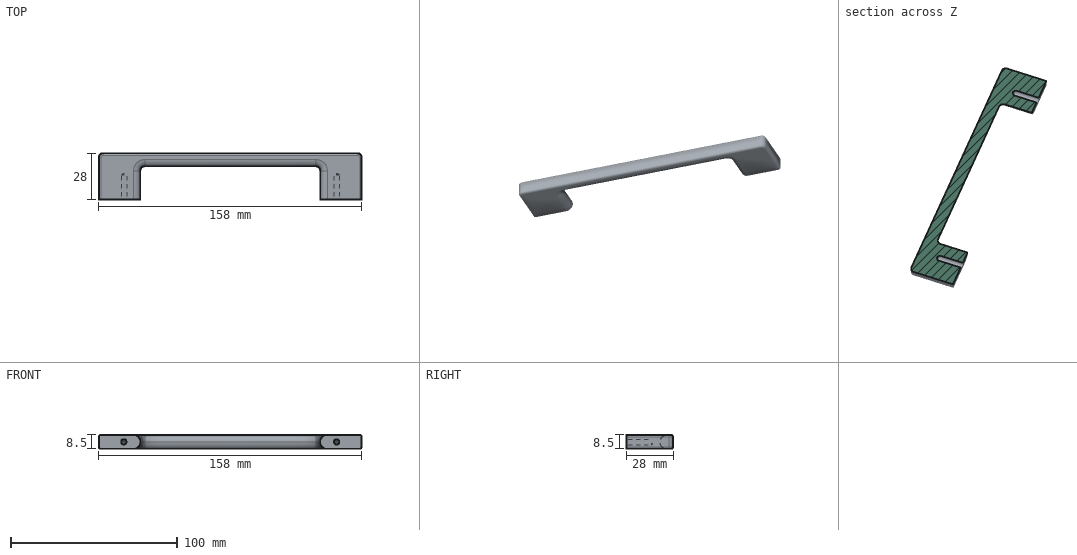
import cadquery as cq
import math

length = 158.0
depth = 28.0
thickness = 8.5

leg_width = 25.0
bar_depth = 8.0
opening_corner_radius = 2.5
nose_flat = 0.002
nose_radius = (thickness - nose_flat) / 2

corner_radius = 2.5
edge_radius = 1.25

hole_spacing = 128.0
hole_diameter = 3.3
hole_depth = 15.0
drill_point_angle = 120.0

opening_width = length - 2 * leg_width
opening_depth = depth - bar_depth


def outer_block():
    """Bar with rounded back corners and softened edges along its sides and back."""
    return (
        cq.Workplane("XY")
        .box(length, depth, thickness, centered=(True, False, True))
        .edges("|Z and >Y")
        .fillet(corner_radius)
        .faces(">Z or <Z")
        .edges("not <Y")
        .fillet(edge_radius)
    )


def grip_opening():
    """Space for the fingers, with rounded inner corners."""
    return (
        cq.Workplane("XY")
        .box(opening_width, opening_depth, thickness, centered=(True, False, True))
        .edges("|Z and >Y")
        .fillet(opening_corner_radius)
    )


def round_grip(body):
    """Round the opening's edges to a near half-round nose, leaving a hair-thin flat at mid-thickness."""
    margin = nose_radius / 2
    half_width = opening_width / 2 + margin
    rim = cq.selectors.BoxSelector(
        (-half_width, -margin, -thickness),
        (half_width, opening_depth + margin, thickness),
        boundingbox=True,
    )
    return body.edges(rim).edges("not (|Z or <Y)").fillet(nose_radius)


def screw_hole(center_x):
    """Blind hole with a conical drill point, running into a leg from its end."""
    hole_radius = hole_diameter / 2
    point_length = hole_radius / math.tan(math.radians(drill_point_angle / 2))
    return (
        cq.Workplane("XY", origin=(center_x, 0, 0))
        .lineTo(hole_radius, 0)
        .lineTo(hole_radius, hole_depth)
        .lineTo(0, hole_depth + point_length)
        .close()
        .revolve(360, (0, 0, 0), (0, 1, 0))
    )


result = round_grip(outer_block().cut(grip_opening()))
for side in (-1, 1):
    result = result.cut(screw_hole(side * hole_spacing / 2))